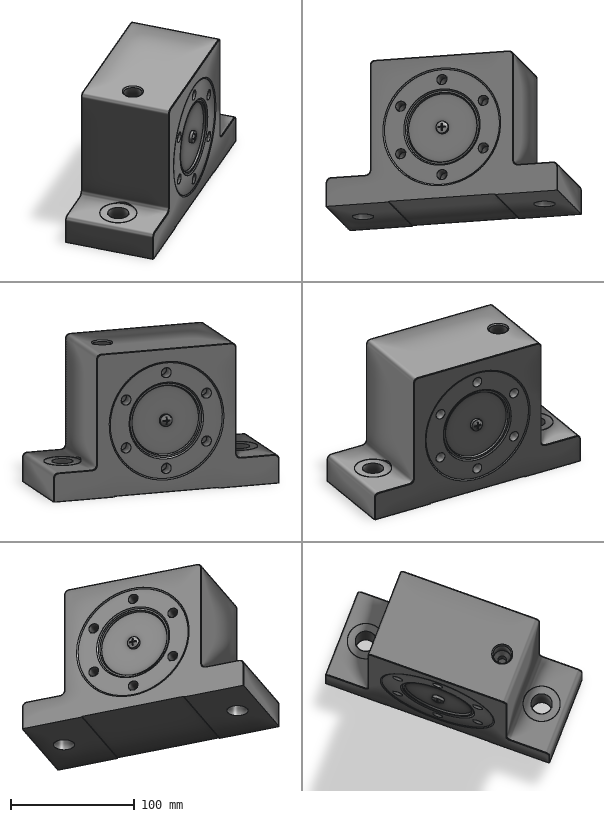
import cadquery as cq
import math

LENGTH = 194.0
WIDTH = 76.0
HEIGHT = 120.0
BLOCK_LENGTH = 120.0
FOOT_HEIGHT = 24.0
CORNER_RADIUS = 4.0
SIDE_CHAMFER = 0.5
BASE_RELIEF_LENGTH = 89.2
BASE_RELIEF_DEPTH = 0.5

MOUNT_SPACING = 152.0
MOUNT_HOLE_DIAMETER = 17.0
SPOT_FACE_DIAMETER = 30.0
SPOT_FACE_DEPTH = 0.2

INLET_Y = -42.0
INLET_MOUTH_DIAMETER = 17.0
INLET_BORE_DIAMETER = 15.0
INLET_BORE_DEPTH = 13.5
INLET_DRILL_DIAMETER = 7.0
INLET_DRILL_DEPTH = 23.3

COVER_Z = HEIGHT / 2
COVER_RIM_DIAMETER = 98.7
COVER_DIAMETER = 96.5
COVER_DEPTH = 0.5
LIP_DIAMETER = 64.0
LEDGE_DIAMETER = 61.7
LEDGE_DEPTH = 1.5
DISC_RIM_DIAMETER = 58.8
DISC_DIAMETER = 57.2
DISC_DEPTH = 3.1

COVER_HOLE_COUNT = 6
COVER_HOLE_CIRCLE_RADIUS = 40.0
COVER_HOLE_DIAMETER = 8.3
COVER_HOLE_DEPTH = 11.6
DRILL_POINT_ANGLE = 118.0

SCREW_DIAMETER = 10.0
SCREW_PROTRUSION = 0.8
DOME_EDGE_DEPTH = 0.5
CROSS_LENGTH = 5.8
CROSS_SLOT_WIDTH = 0.8
CROSS_DEPTH = 2.0


def drill_point_height(diameter):
    """Height of the cone that a drill of this diameter leaves, down to its tip."""
    return diameter / 2 / math.tan(math.radians(DRILL_POINT_ANGLE / 2))


def revolved_about_z(profile):
    """Solid of revolution about Z from (radius, height) points."""
    return cq.Workplane("XZ").polyline(profile).close().revolve(360, (0, 0, 0), (0, 1, 0))


def make_body():
    body = cq.Workplane("XY").box(WIDTH, LENGTH, FOOT_HEIGHT, centered=(True, True, False))
    block = cq.Workplane("XY").box(WIDTH, BLOCK_LENGTH, HEIGHT, centered=(True, True, False))
    body = body.union(block)
    body = body.edges("|X and (not <Z)").fillet(CORNER_RADIUS)
    for side in ("<X", ">X"):
        body = body.faces(side).edges("not <Z").chamfer(SIDE_CHAMFER)
    relief = cq.Workplane("XY").box(
        WIDTH, BASE_RELIEF_LENGTH, BASE_RELIEF_DEPTH, centered=(True, True, False)
    )
    return body.cut(relief)


def make_mounting_holes():
    centres = [(0, -MOUNT_SPACING / 2), (0, MOUNT_SPACING / 2)]
    holes = cq.Workplane("XY").pushPoints(centres).circle(MOUNT_HOLE_DIAMETER / 2).extrude(HEIGHT)
    spot_faces = (
        cq.Workplane("XY")
        .workplane(offset=FOOT_HEIGHT - SPOT_FACE_DEPTH)
        .pushPoints(centres)
        .circle(SPOT_FACE_DIAMETER / 2)
        .extrude(HEIGHT)
    )
    return holes.union(spot_faces)


def make_inlet():
    mouth_radius = INLET_MOUTH_DIAMETER / 2
    bore_radius = INLET_BORE_DIAMETER / 2
    drill_radius = INLET_DRILL_DIAMETER / 2
    shoulder_height = drill_point_height(INLET_BORE_DIAMETER) - drill_point_height(INLET_DRILL_DIAMETER)
    profile = [
        (0, 0),
        (mouth_radius, 0),
        (bore_radius, bore_radius - mouth_radius),
        (bore_radius, -INLET_BORE_DEPTH),
        (drill_radius, -INLET_BORE_DEPTH - shoulder_height),
        (drill_radius, -INLET_DRILL_DEPTH),
        (0, -INLET_DRILL_DEPTH),
    ]
    return revolved_about_z(profile).translate((0, INLET_Y, HEIGHT))


def make_cover_cut():
    """Stepped recess and ring of drilled holes, opening upward with the side face at Z = 0."""
    cut = revolved_about_z([
        (0, 0),
        (COVER_RIM_DIAMETER / 2, 0),
        (COVER_DIAMETER / 2, -COVER_DEPTH),
        (LIP_DIAMETER / 2, -COVER_DEPTH),
        (LEDGE_DIAMETER / 2, -LEDGE_DEPTH),
        (DISC_RIM_DIAMETER / 2, -LEDGE_DEPTH),
        (DISC_DIAMETER / 2, -DISC_DEPTH),
        (0, -DISC_DEPTH),
    ])
    hole_radius = COVER_HOLE_DIAMETER / 2
    tip_depth = COVER_HOLE_DEPTH + drill_point_height(COVER_HOLE_DIAMETER)
    hole = revolved_about_z([
        (0, 0),
        (hole_radius, 0),
        (hole_radius, -COVER_HOLE_DEPTH),
        (0, -tip_depth),
    ]).translate((COVER_HOLE_CIRCLE_RADIUS, 0, 0))
    for index in range(COVER_HOLE_COUNT):
        cut = cut.union(hole.rotate((0, 0, 0), (0, 0, 1), index * 360 / COVER_HOLE_COUNT))
    return cut


def make_screw():
    """Screw head pointing upward with the side face at Z = 0; its shank starts inside the body."""
    radius = SCREW_DIAMETER / 2
    root_depth = 2 * DISC_DEPTH
    dome_height = SCREW_PROTRUSION + DOME_EDGE_DEPTH
    sphere_radius = (radius**2 + dome_height**2) / (2 * dome_height)
    sphere_centre = SCREW_PROTRUSION - sphere_radius
    half_angle = math.asin(radius / sphere_radius) / 2
    dome_middle = (
        sphere_radius * math.sin(half_angle),
        sphere_centre + sphere_radius * math.cos(half_angle),
    )
    screw = (
        cq.Workplane("XZ")
        .moveTo(0, -root_depth)
        .lineTo(radius, -root_depth)
        .lineTo(radius, -DOME_EDGE_DEPTH)
        .threePointArc(dome_middle, (0, SCREW_PROTRUSION))
        .close()
        .revolve(360, (0, 0, 0), (0, 1, 0))
    )
    top = cq.Workplane("XY").workplane(offset=SCREW_PROTRUSION)
    slot = top.rect(CROSS_LENGTH, CROSS_SLOT_WIDTH).extrude(-CROSS_DEPTH)
    cross_slot = top.rect(CROSS_SLOT_WIDTH, CROSS_LENGTH).extrude(-CROSS_DEPTH)
    return screw.cut(slot).cut(cross_slot)


def on_side(shape, direction):
    """Place an upward-facing shape on the -X (direction -1) or +X (direction 1) side face."""
    turned = shape.rotate((0, 0, 0), (0, 1, 0), direction * 90)
    return turned.translate((direction * WIDTH / 2, 0, COVER_Z))


result = make_body().cut(make_mounting_holes()).cut(make_inlet())
for side_direction in (-1, 1):
    result = result.cut(on_side(make_cover_cut(), side_direction))
    result = result.union(on_side(make_screw(), side_direction))